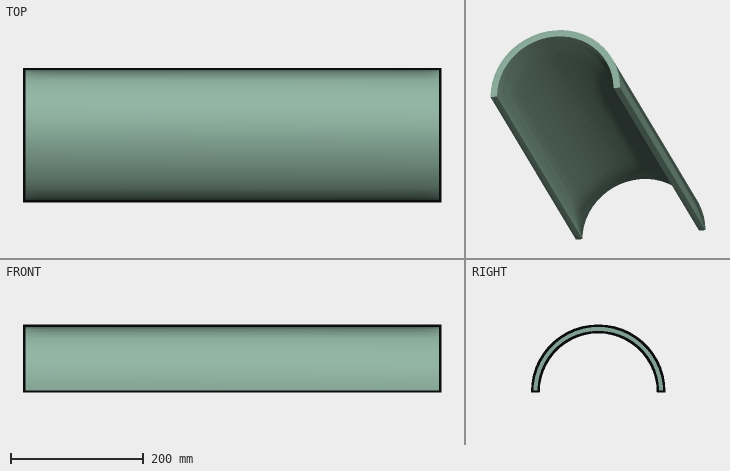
import cadquery as cq

length = 628.0
outer_diameter = 200.0
wall = 10.0

outer_radius = outer_diameter / 2
inner_radius = outer_radius - wall

profile = (
    cq.Workplane("YZ")
    .moveTo(-outer_radius, 0)
    .threePointArc((0, outer_radius), (outer_radius, 0))
    .lineTo(inner_radius, 0)
    .threePointArc((0, inner_radius), (-inner_radius, 0))
    .close()
)

result = profile.extrude(length)